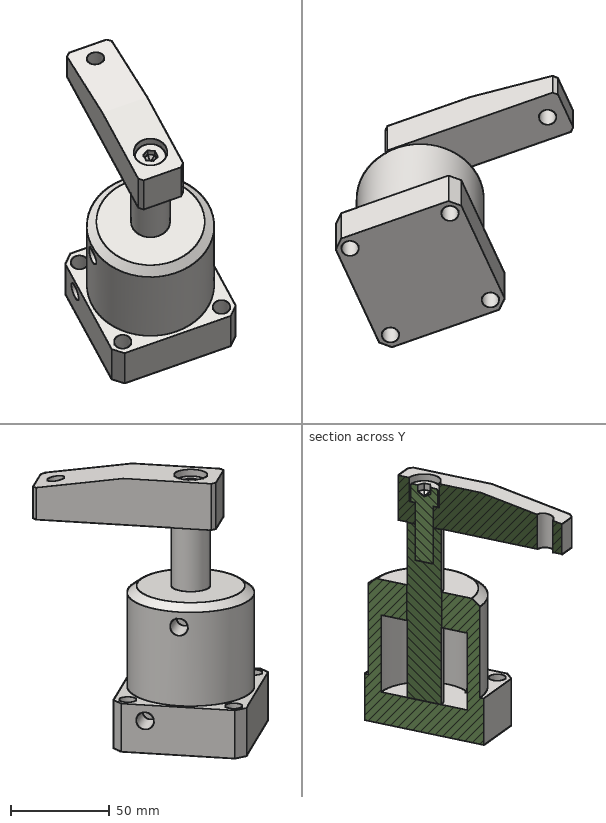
import cadquery as cq
import math


base_width = 69.0
base_height = 26.0
base_corner_chamfer = 5.0
mount_hole_spacing = 55.0
mount_hole_diameter = 8.8
barrel_diameter = 65.0
barrel_top_z = 80.0
barrel_edge_rise = 3.6
barrel_edge_inset = 4.9

chamber_diameter = 49.8
chamber_floor_z = 17.7
chamber_ceiling_z = 60.0

port_mouth_diameter = 9.2
port_floor_diameter = 8.2
port_depth = 14.9
upper_port_x = 0.0
upper_port_z = 68.2
lower_port_x = -17.2
lower_port_z = 17.5

rod_diameter = 20.0

arm_top_z = 139.5
arm_height = 25.0
arm_width = 25.0
arm_tip_x = -80.0
arm_heel_x = 15.0
arm_corner_chamfer = 2.1
arm_tip_height = 16.9
arm_slope_start_x = -32.6
arm_bottom_z = arm_top_z - arm_height
tip_hole_x = -70.0
tip_hole_diameter = 8.8

head_diameter = 15.9
head_height = 10.0
head_edge_fillet = 1.3
head_recess = 3.0
shank_diameter = 10.0
shank_depth_in_rod = 20.0
socket_across_corners = 7.4
socket_depth = 3.6
socket_point_depth = 2.1
counterbore_diameter = 17.0
head_top_z = arm_top_z - head_recess
head_seat_z = head_top_z - head_height
shank_end_z = arm_bottom_z - shank_depth_in_rod


def cylinder(diameter, bottom_z, top_z):
    """Upright cylinder on the rod axis."""
    return cq.Workplane("XY").workplane(offset=bottom_z).circle(diameter / 2).extrude(top_z - bottom_z)


def port(x, z, face_y):
    """Blind flat-bottomed port that narrows slightly as it runs in the +Y direction from face_y."""
    profile = [
        (0, 0),
        (port_mouth_diameter / 2, 0),
        (port_floor_diameter / 2, port_depth),
        (0, port_depth),
    ]
    bore = cq.Workplane("XY").polyline(profile).close().revolve(360, (0, 0), (0, 1))
    return bore.translate((x, face_y, z))


def make_housing():
    base = (
        cq.Workplane("XY")
        .rect(base_width, base_width)
        .extrude(base_height)
        .edges("|Z")
        .chamfer(base_corner_chamfer)
        .faces(">Z")
        .workplane()
        .rect(mount_hole_spacing, mount_hole_spacing, forConstruction=True)
        .vertices()
        .hole(mount_hole_diameter)
    )
    barrel = (
        cylinder(barrel_diameter, base_height, barrel_top_z)
        .faces(">Z")
        .chamfer(barrel_edge_rise, barrel_edge_inset)
    )
    chamber = cylinder(chamber_diameter, chamber_floor_z, chamber_ceiling_z)
    rod_bore = cylinder(rod_diameter, chamber_floor_z, barrel_top_z)
    upper_port = port(upper_port_x, upper_port_z, -barrel_diameter / 2)
    lower_port = port(lower_port_x, lower_port_z, -base_width / 2)
    return base.union(barrel).cut(chamber).cut(rod_bore).cut(upper_port).cut(lower_port)


def make_rod():
    rod = cylinder(rod_diameter, chamber_floor_z, arm_bottom_z)
    return rod.cut(cylinder(shank_diameter, shank_end_z, arm_bottom_z))


def make_arm():
    tip_top_z = arm_bottom_z + arm_tip_height
    side_profile = [
        (arm_tip_x, arm_bottom_z),
        (arm_heel_x, arm_bottom_z),
        (arm_heel_x, arm_top_z),
        (arm_slope_start_x, arm_top_z),
        (arm_tip_x, tip_top_z),
    ]
    arm = cq.Workplane("XZ").polyline(side_profile).close().extrude(arm_width / 2, both=True)
    arm = arm.edges("|Z").chamfer(arm_corner_chamfer)
    tip_hole = cylinder(tip_hole_diameter, arm_bottom_z, arm_top_z).translate((tip_hole_x, 0, 0))
    shank_hole = cylinder(shank_diameter, arm_bottom_z, head_seat_z)
    counterbore = cylinder(counterbore_diameter, head_seat_z, arm_top_z)
    return arm.cut(tip_hole).cut(shank_hole).cut(counterbore)


def make_hex_socket():
    """Hexagonal recess in the screw head whose bottom is a six-sided point."""
    hexagon = cq.Workplane("XY").workplane(offset=head_top_z).polygon(6, socket_across_corners)
    socket = hexagon.extrude(-socket_depth)
    across_flats = socket_across_corners * math.cos(math.radians(30))
    facet_angle = math.degrees(math.atan(across_flats / 2 / socket_point_depth))
    point = (
        cq.Workplane("XY")
        .workplane(offset=head_top_z - socket_depth)
        .polygon(6, socket_across_corners)
        .extrude(-socket_point_depth, taper=facet_angle)
    )
    return socket.union(point)


def make_screw():
    head = cylinder(head_diameter, head_seat_z, head_top_z).faces(">Z").edges().fillet(head_edge_fillet)
    shank = cylinder(shank_diameter, shank_end_z, head_seat_z)
    return head.union(shank).cut(make_hex_socket())


housing = make_housing()
rod = make_rod()
arm = make_arm()
screw = make_screw()

result = cq.Compound.makeCompound([housing.val(), rod.val(), arm.val(), screw.val()])